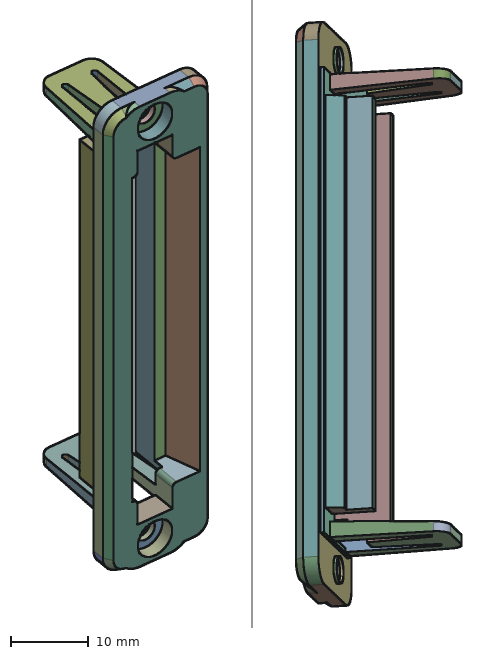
import cadquery as cq

length = 74.5
width = 16.75
depth = 19.0
half_length = length / 2

flange_thickness = 3.2
corner_radius = 3
edge_chamfer_depth = 1.2
edge_chamfer_inset = 0.8
flange_x = depth - flange_thickness
chamfer_x = depth - edge_chamfer_depth

pad_thickness = 0.45
pad_y_low = -6.25
pad_y_high = 7.3
pad_end_inset = 6.4
pad_x = flange_x - pad_thickness

axis_y = -0.9

hole_inset = 3.5
hole_diameter = 3.05
rim_bore_diameter = 3.3
rim_diameter = 3.6
counterbore_diameter = 5.5
counterbore_depth = 2.1
hole_z = half_length - hole_inset
hole_boss_straight = 4.85

window_half_z = half_length - 7.0
window_width = 5.6
tab_radius = 0.7
cavity_half_z = half_length - 11.0

rail_half_z = half_length - 9.9
rail_x = 9.6
straight_rail_y_low = -5.95
straight_rail_y_high = -4.55
bent_rail_y_low = 3
bent_rail_y_high = 4.6
rail_web_x = 13.0
rail_web_thickness = 0.7
rail_foot_x = rail_web_x + rail_web_thickness
rail_shoulder_y = 5.65
rail_base_y = 6.5
cavity_foot_y = 4.8
cavity_face_y = 6.3

arm_inset = 6.55
arm_tip_thickness = 1.3
arm_root_thickness = 2.1
arm_tip_half_width = 4.5
arm_root_half_width = 5.1
arm_tip_radius = 1.85
arm_slot_x = 2.5
arm_slot_end_width = 0.9
tongue_end_x = 11.5
tongue_end_half_width = 1.3


def box(x_low, x_high, y_low, y_high, half_z):
    """Block centred on Z = 0, given by its X and Y limits."""
    return (
        cq.Workplane("XY")
        .box(x_high - x_low, y_high - y_low, 2 * half_z, centered=(False, False, True))
        .translate((x_low, y_low, 0))
    )


def prism(points, half_z):
    """XY outline extruded equally to both sides of Z = 0."""
    return cq.Workplane("XY").polyline(points).close().extrude(half_z, both=True)


def cylinder_x(diameter, x_low, x_high, z):
    """Cylinder along X on the hole centre line."""
    return (
        cq.Workplane("YZ", origin=(x_low, axis_y, z))
        .circle(diameter / 2)
        .extrude(x_high - x_low)
    )


def make_flange():
    """Rounded plate with a chamfered outer edge and a raised pad on its inner face."""
    plate = (
        box(flange_x, depth, -width / 2, width / 2, half_length)
        .edges("|X")
        .fillet(corner_radius)
        .faces(">X")
        .chamfer(edge_chamfer_depth, edge_chamfer_inset)
    )
    pad = box(pad_x, flange_x, pad_y_low, pad_y_high, half_length - pad_end_inset)
    return plate.union(pad)


def make_hole_boss(z):
    """Obround boss that keeps the flange end full height through the edge chamfer."""
    return (
        cq.Workplane("YZ", origin=(chamfer_x, axis_y, z))
        .slot2D(hole_boss_straight + 2 * hole_inset, 2 * hole_inset)
        .extrude(edge_chamfer_depth)
    )


def make_rails():
    """Straight rail on the -Y side and a stepped, flared rail on the +Y side."""
    straight = box(rail_x, flange_x, straight_rail_y_low, straight_rail_y_high, rail_half_z)
    bent = prism(
        [
            (rail_x, bent_rail_y_low),
            (flange_x, bent_rail_y_low),
            (flange_x, rail_base_y),
            (pad_x, rail_base_y),
            (rail_web_x, rail_shoulder_y),
            (rail_web_x, bent_rail_y_high),
            (rail_x, bent_rail_y_high),
        ],
        rail_half_z,
    )
    return straight.union(bent)


def make_window():
    """Narrow window between the end tabs, opening into a wider flared cavity."""
    narrow_y_low = axis_y - window_width / 2
    narrow_y_high = axis_y + window_width / 2
    narrow = box(pad_x, depth, narrow_y_low, narrow_y_high, window_half_z)
    cavity = prism(
        [
            (rail_foot_x, straight_rail_y_high),
            (depth, straight_rail_y_high),
            (depth, cavity_face_y),
            (rail_foot_x, cavity_foot_y),
        ],
        cavity_half_z,
    )
    opening = narrow.union(cavity)
    margin = tab_radius / 2
    tab_corners = cq.selectors.BoxSelector(
        (pad_x, narrow_y_low - margin, -cavity_half_z - margin),
        (depth, narrow_y_high + margin, cavity_half_z + margin),
    )
    return opening.edges("|X").edges(tab_corners).fillet(tab_radius)


def make_arm():
    """Upper arm: tapered plate with two legs and a free tongue between them."""
    top_z = half_length - arm_inset
    side = (
        cq.Workplane("XZ", origin=(0, width / 2, 0))
        .polyline(
            [
                (0, top_z),
                (pad_x, top_z),
                (pad_x, top_z - arm_root_thickness),
                (0, top_z - arm_tip_thickness),
            ]
        )
        .close()
        .extrude(width)
    )
    plan = (
        prism(
            [
                (0, axis_y - arm_tip_half_width),
                (pad_x, axis_y - arm_root_half_width),
                (pad_x, axis_y + arm_root_half_width),
                (0, axis_y + arm_tip_half_width),
            ],
            half_length,
        )
        .edges("|Z and <X")
        .fillet(arm_tip_radius)
    )
    arm = side.intersect(plan)
    leg_y = window_width / 2
    slot_end_radius = arm_slot_end_width / 2
    slot_start_x = arm_slot_x + slot_end_radius
    for direction in (1, -1):
        slot = (
            cq.Workplane("XY")
            .moveTo(slot_start_x, axis_y + direction * leg_y)
            .lineTo(pad_x, axis_y + direction * leg_y)
            .lineTo(pad_x, axis_y)
            .lineTo(tongue_end_x, axis_y)
            .lineTo(tongue_end_x, axis_y + direction * tongue_end_half_width)
            .lineTo(slot_start_x, axis_y + direction * (leg_y - arm_slot_end_width))
            .threePointArc(
                (arm_slot_x, axis_y + direction * (leg_y - slot_end_radius)),
                (slot_start_x, axis_y + direction * leg_y),
            )
            .close()
            .extrude(half_length)
        )
        arm = arm.cut(slot)
    return arm


def add_screw_hole(body, z):
    """Rimmed through hole with a counterbore in the outer face of the flange."""
    rim = cylinder_x(rim_diameter, pad_x, flange_x, z)
    rim_bore = cylinder_x(rim_bore_diameter, pad_x, flange_x, z)
    hole = cylinder_x(hole_diameter, pad_x, depth, z)
    counterbore = cylinder_x(counterbore_diameter, depth - counterbore_depth, depth, z)
    return body.union(rim).cut(rim_bore).cut(hole).cut(counterbore)


result = make_flange().union(make_rails())
for boss_z in (hole_z, -hole_z):
    result = result.union(make_hole_boss(boss_z))
result = result.cut(make_window())

upper_arm = make_arm()
result = result.union(upper_arm).union(upper_arm.mirror("XY"))

for screw_z in (hole_z, -hole_z):
    result = add_screw_hole(result, screw_z)